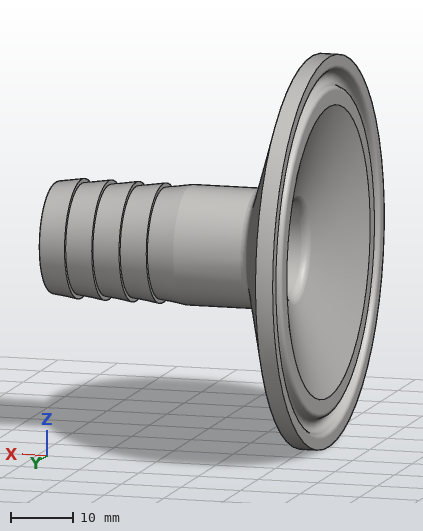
import cadquery as cq
import math

flange_radius = 63.91 / 2
rim_thickness = 2.87
cone_angle = 20.0

total_length = 46.02
tail_radius = 19.48 / 2
barb_count = 5
barb_pitch = 4.572
barb_angle = 8.5
neck_fillet = 1.33
tip_fillet = 0.6

bore_radius = 15.68 / 2
funnel_mouth_radius = 23.8
bore_lip_fillet = 1.44

groove_centre_radius = 28.17
groove_arc_radius = 1.23
groove_edge_radius = 0.8
groove_wall_length = 0.35
groove_wall_angle = 20.0

slope = math.tan(math.radians(cone_angle))
barb_start = total_length - barb_count * barb_pitch
barb_drop = barb_pitch * math.tan(math.radians(barb_angle))
barb_root_radius = tail_radius - barb_drop


def revolve_about_axis(profile):
    """Revolve a closed (x, radius) profile a full turn about the X axis."""
    return profile.close().revolve(360, (0, 0, 0), (1, 0, 0))


def circle_edge_at(x, radius):
    """Select the circular edge about the X axis with this x position and radius."""
    margin = 0.05
    return cq.selectors.BoxSelector(
        (x - margin, -radius - margin, -radius - margin),
        (x + margin, radius + margin, radius + margin),
        boundingbox=True,
    )


def make_body():
    neck_x = rim_thickness + (flange_radius - tail_radius) * slope
    profile = (
        cq.Workplane("XY")
        .moveTo(0, 0)
        .lineTo(0, flange_radius)
        .lineTo(rim_thickness, flange_radius)
        .lineTo(neck_x, tail_radius)
        .lineTo(barb_start, tail_radius)
    )
    for index in range(barb_count):
        barb_x = barb_start + index * barb_pitch
        if index > 0:
            profile = profile.lineTo(barb_x, tail_radius)
        profile = profile.lineTo(barb_x + barb_pitch, barb_root_radius)
    body = revolve_about_axis(profile.lineTo(total_length, 0))
    body = body.edges(circle_edge_at(neck_x, tail_radius)).fillet(neck_fillet)
    return body.edges(circle_edge_at(total_length, barb_root_radius)).fillet(tip_fillet)


def cut_bore(body):
    funnel_depth = (funnel_mouth_radius - bore_radius) * slope
    profile = (
        cq.Workplane("XY")
        .moveTo(0, 0)
        .lineTo(0, funnel_mouth_radius)
        .lineTo(funnel_depth, bore_radius)
        .lineTo(total_length, bore_radius)
        .lineTo(total_length, 0)
    )
    body = body.cut(revolve_about_axis(profile))
    return body.edges(circle_edge_at(funnel_depth, bore_radius)).fillet(bore_lip_fillet)


def cut_gasket_groove(body):
    """Round-bottomed groove whose straight walls meet the sealing face in convex arcs."""
    wall = math.radians(groove_wall_angle)
    half_turn = (math.pi / 2 - wall) / 2
    arc_offset = groove_arc_radius * math.cos(wall)
    edge_offset = arc_offset + groove_wall_length * math.sin(wall)
    mouth_offset = edge_offset + groove_edge_radius * math.cos(wall)
    edge_depth = groove_edge_radius * (1 - math.sin(wall))
    arc_depth = edge_depth + groove_wall_length * math.cos(wall)
    groove_depth = arc_depth + groove_arc_radius * (1 - math.sin(wall))
    edge_mid_offset = mouth_offset - groove_edge_radius * math.sin(half_turn)
    edge_mid_depth = groove_edge_radius * (1 - math.cos(half_turn))
    profile = (
        cq.Workplane("XY")
        .moveTo(0, groove_centre_radius - mouth_offset)
        .threePointArc(
            (edge_mid_depth, groove_centre_radius - edge_mid_offset),
            (edge_depth, groove_centre_radius - edge_offset),
        )
        .lineTo(arc_depth, groove_centre_radius - arc_offset)
        .threePointArc(
            (groove_depth, groove_centre_radius),
            (arc_depth, groove_centre_radius + arc_offset),
        )
        .lineTo(edge_depth, groove_centre_radius + edge_offset)
        .threePointArc(
            (edge_mid_depth, groove_centre_radius + edge_mid_offset),
            (0, groove_centre_radius + mouth_offset),
        )
    )
    return body.cut(revolve_about_axis(profile))


result = cut_gasket_groove(cut_bore(make_body()))